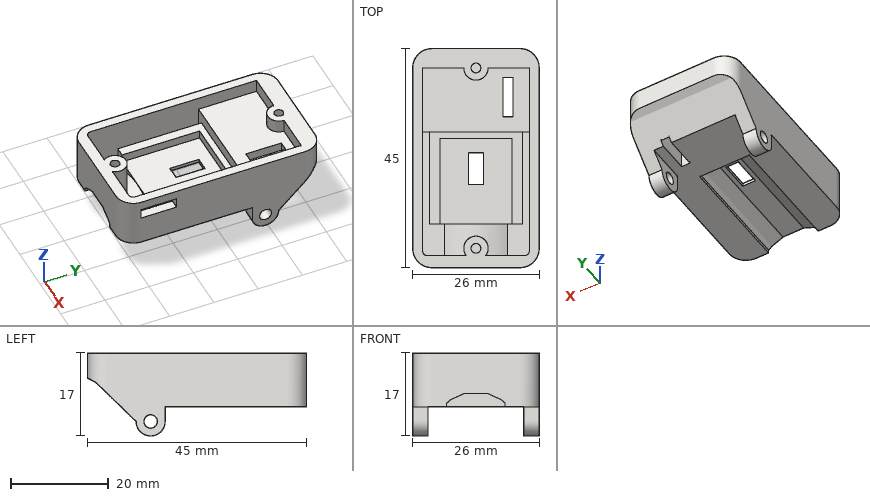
import cadquery as cq

BODY_WIDTH = 26.0
BODY_LENGTH = 45.0
BODY_HEIGHT = 11.0
CORNER_RADIUS = 4.0
FRONT_Y = -BODY_LENGTH / 2
REAR_Y = BODY_LENGTH / 2

SIDE_WALL = 2.05
FRONT_WALL = 2.5
REAR_WALL = 4.0
CAVITY_CORNER_RADIUS = 1.0
FLOOR_Z = 1.5
CAVITY_WIDTH = BODY_WIDTH - 2 * SIDE_WALL
CAVITY_FRONT_Y = FRONT_Y + FRONT_WALL
CAVITY_REAR_Y = REAR_Y - REAR_WALL

SHELF_Z = 8.0
SHELF_FRONT_Y = 5.4

FRAME_TOP_Z = 5.4
FRAME_WIDTH = 19.0
FRAME_FRONT_Y = -13.5
SEAT_Z = 3.5
SEAT_WIDTH = 14.8
SEAT_REAR_Y = 4.0

CHANNEL_HALF_WIDTH = 6.0
CHANNEL_SIDE_Z = 0.75
CHANNEL_BEND_X = 5.2
CHANNEL_BEND_Z = 1.45
CHANNEL_ROOF_HALF_WIDTH = 2.5
CHANNEL_ROOF_Z = 2.7
COVER_HALF_WIDTH = 6.45
COVER_TOP_Z = 3.4

BOSS_DIAMETER = 5.0
SCREW_HOLE_DIAMETER = 2.0
SCREW_HOLE_DEPTH = 6.0
BOSS_Y = 18.5

SEAT_SLOT_WIDTH = 3.0
SEAT_SLOT_FRONT_Y = -5.4
SEAT_SLOT_LENGTH = 6.5
SHELF_SLOT_WIDTH = 2.0
SHELF_SLOT_X = 6.55
SHELF_SLOT_FRONT_Y = 8.5
SHELF_SLOT_LENGTH = 8.0
WINDOW_REAR_Y = -10.6
WINDOW_LENGTH = 8.0
WINDOW_BOTTOM_Z = 6.65
WINDOW_HEIGHT = 2.3

LUG_RADIUS = 3.0
LUG_HOLE_DIAMETER = 2.7
LUG_THICKNESS = 3.2
LUG_Y = 9.5
LUG_Z = -3.0
SLANT_BEND_Y = 20.75
SLANT_BEND_Z = 5.0
SLANT_REAR_Z = 5.9


def block(width, y_front, y_rear, z_bottom, z_top, x_center=0.0):
    """Box given by its width and its Y and Z limits."""
    return (
        cq.Workplane("XY", origin=(x_center, (y_front + y_rear) / 2, z_bottom))
        .rect(width, y_rear - y_front)
        .extrude(z_top - z_bottom)
    )


def extrude_along_x(profile, width):
    """Extrude a closed YZ profile symmetrically about X = 0."""
    return profile.extrude(width / 2, both=True)


def make_body():
    """Rounded block with the slanted rear underside and the two drilled lugs."""
    lug_front_y = LUG_Y - LUG_RADIUS
    lug_rear_y = LUG_Y + LUG_RADIUS
    side_profile = (
        cq.Workplane("YZ")
        .moveTo(FRONT_Y, 0)
        .lineTo(lug_front_y, 0)
        .lineTo(lug_front_y, LUG_Z)
        .threePointArc((LUG_Y, LUG_Z - LUG_RADIUS), (lug_rear_y, LUG_Z))
        .lineTo(SLANT_BEND_Y, SLANT_BEND_Z)
        .lineTo(REAR_Y, SLANT_REAR_Z)
        .lineTo(REAR_Y, BODY_HEIGHT)
        .lineTo(FRONT_Y, BODY_HEIGHT)
        .close()
    )
    lowest_z = LUG_Z - LUG_RADIUS
    envelope = block(BODY_WIDTH, FRONT_Y, REAR_Y, lowest_z, BODY_HEIGHT)
    envelope = envelope.edges("|Z").fillet(CORNER_RADIUS)
    body = extrude_along_x(side_profile, BODY_WIDTH).intersect(envelope)

    lug_gap = block(BODY_WIDTH - 2 * LUG_THICKNESS, FRONT_Y, REAR_Y, lowest_z, 0)
    pin_hole = extrude_along_x(
        cq.Workplane("YZ").center(LUG_Y, LUG_Z).circle(LUG_HOLE_DIAMETER / 2), BODY_WIDTH
    )
    return body.cut(lug_gap).cut(pin_hole)


def make_channel():
    """Faceted channel open at the bottom and at the front face."""
    right_side = [
        (CHANNEL_HALF_WIDTH, 0),
        (CHANNEL_HALF_WIDTH, CHANNEL_SIDE_Z),
        (CHANNEL_BEND_X, CHANNEL_BEND_Z),
        (CHANNEL_ROOF_HALF_WIDTH, CHANNEL_ROOF_Z),
    ]
    left_side = [(-x, z) for x, z in reversed(right_side)]
    return (
        cq.Workplane("XZ", origin=(0, FRONT_Y, 0))
        .polyline(right_side + left_side)
        .close()
        .extrude(FRONT_Y - SEAT_REAR_Y)
    )


def make_channel_cover():
    """Arched hump on the cavity floor above the front end of the channel."""
    return (
        cq.Workplane("XZ", origin=(0, CAVITY_FRONT_Y, 0))
        .moveTo(-COVER_HALF_WIDTH, FLOOR_Z)
        .threePointArc((0, COVER_TOP_Z), (COVER_HALF_WIDTH, FLOOR_Z))
        .close()
        .extrude(CAVITY_FRONT_Y - FRAME_FRONT_Y)
    )


def make_cavity():
    """Space removed from the body, leaving the shelf, frame, seat and channel cover."""
    cavity = block(CAVITY_WIDTH, CAVITY_FRONT_Y, CAVITY_REAR_Y, FLOOR_Z, BODY_HEIGHT)
    cavity = cavity.edges("|Z and <Y").fillet(CAVITY_CORNER_RADIUS)
    shelf = block(CAVITY_WIDTH, SHELF_FRONT_Y, CAVITY_REAR_Y, FLOOR_Z, SHELF_Z)
    frame = block(FRAME_WIDTH, FRAME_FRONT_Y, SHELF_FRONT_Y, FLOOR_Z, FRAME_TOP_Z)
    seat = block(SEAT_WIDTH, FRAME_FRONT_Y, SEAT_REAR_Y, SEAT_Z, FRAME_TOP_Z)
    return cavity.cut(shelf).cut(frame.cut(seat)).cut(make_channel_cover())


def add_screw_bosses(part):
    """Blind-drilled bosses at both ends, flush with the rim."""
    for boss_y, base_z in ((-BOSS_Y, FLOOR_Z), (BOSS_Y, SHELF_Z)):
        boss = (
            cq.Workplane("XY", origin=(0, boss_y, base_z))
            .circle(BOSS_DIAMETER / 2)
            .extrude(BODY_HEIGHT - base_z)
        )
        hole = (
            cq.Workplane("XY", origin=(0, boss_y, BODY_HEIGHT))
            .circle(SCREW_HOLE_DIAMETER / 2)
            .extrude(-SCREW_HOLE_DEPTH)
        )
        part = part.union(boss).cut(hole)
    return part


def cut_openings(part):
    """Slots through the seat and the shelf, and a window in the +X wall."""
    seat_slot = block(
        SEAT_SLOT_WIDTH, SEAT_SLOT_FRONT_Y, SEAT_SLOT_FRONT_Y + SEAT_SLOT_LENGTH, 0, SEAT_Z
    )
    shelf_slot = block(
        SHELF_SLOT_WIDTH,
        SHELF_SLOT_FRONT_Y,
        SHELF_SLOT_FRONT_Y + SHELF_SLOT_LENGTH,
        LUG_Z - LUG_RADIUS,
        SHELF_Z,
        SHELF_SLOT_X,
    )
    window = block(
        SIDE_WALL,
        WINDOW_REAR_Y - WINDOW_LENGTH,
        WINDOW_REAR_Y,
        WINDOW_BOTTOM_Z,
        WINDOW_BOTTOM_Z + WINDOW_HEIGHT,
        (BODY_WIDTH - SIDE_WALL) / 2,
    )
    return part.cut(seat_slot).cut(shelf_slot).cut(window)


body = make_body().cut(make_cavity())
body = add_screw_bosses(body).cut(make_channel())
result = cut_openings(body)